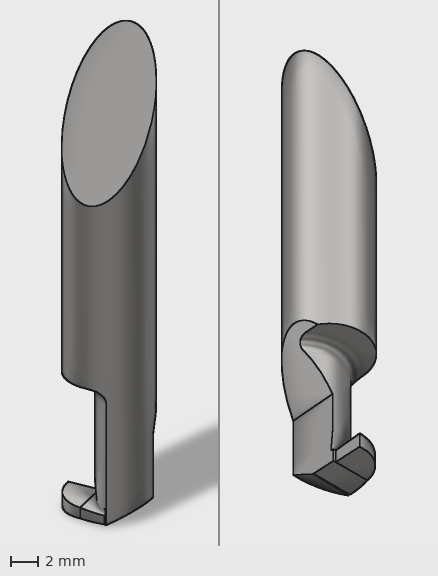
import cadquery as cq
import math

LENGTH = 38.3
SHANK_RADIUS = 3.505
SPAN = 4 * SHANK_RADIUS
END_ANGLE = math.radians(60)
BEVEL_ANGLE = math.radians(30)
BEVEL_START_X = 1.07

NECK_LEFT = -0.75
NECK_AXIS_X = NECK_LEFT + SHANK_RADIUS
NECK_TOP = 11.15
NECK_FILLET = 1.0
BACK_Y = 0.35
RUNOUT_Z = 6.63

RELIEF_TOP = 3.1
RELIEF_TILT = math.radians(5.5)
RELIEF_GROWTH = 0.15
RELIEF_RADIUS = SHANK_RADIUS + RELIEF_GROWTH

FOOT_HEIGHT = 1.3
FOOT_CLEARANCE = math.radians(2)
FOOT_FILLET = 0.15
TIP_X = -3.4
EDGE_Y = 0.1
LAND_Y = -0.23
SPLIT_X = -0.85
SPLIT_Y = -3.1
HEEL = (1.3, -3.37)
HEEL_SAG = 0.08


def side_prism(points):
    """Extrude a Y-Z outline along X, through the whole part."""
    return cq.Workplane("YZ").polyline(points).close().extrude(SPAN / 2, both=True)


def make_shank():
    shank = cq.Workplane("XY").circle(SHANK_RADIUS).extrude(LENGTH)
    end_drop = 2 * SHANK_RADIUS * math.tan(END_ANGLE)
    end_waste = side_prism([
        (SHANK_RADIUS, LENGTH),
        (-SHANK_RADIUS, LENGTH - end_drop),
        (-SHANK_RADIUS, LENGTH),
    ])
    return shank.cut(end_waste)


def make_neck_waste():
    """Space beside the neck, with a flared top that leaves the neck fillet."""
    space = cq.Workplane("XY").rect(SPAN, SPAN).extrude(NECK_TOP)
    flare_bottom = NECK_TOP - NECK_FILLET
    flare_radius = SHANK_RADIUS + NECK_FILLET
    arc_offset = NECK_FILLET * math.sqrt(0.5)
    neck = (
        cq.Workplane("XZ")
        .lineTo(SHANK_RADIUS, 0)
        .lineTo(SHANK_RADIUS, flare_bottom)
        .threePointArc((flare_radius - arc_offset, flare_bottom + arc_offset), (flare_radius, NECK_TOP))
        .lineTo(0, NECK_TOP)
        .close()
        .revolve(360, (0, 0, 0), (0, 1, 0))
        .translate((NECK_AXIS_X, 0, 0))
    )
    return space.cut(neck)


def make_relief_cylinder():
    return (
        cq.Workplane("XY")
        .circle(RELIEF_RADIUS)
        .extrude(SPAN, both=True)
        .rotate((0, 0, 0), (0, 1, 0), -math.degrees(RELIEF_TILT))
        .translate((NECK_LEFT + RELIEF_RADIUS / math.cos(RELIEF_TILT), 0, RELIEF_TOP))
    )


def make_relief_waste():
    """Space outside the tilted cylinder at the bottom of the neck."""
    block = cq.Workplane("XY").box(SPAN, SPAN, RELIEF_TOP, centered=(True, True, False))
    neck_side = block.translate((HEEL[0] - SPAN / 2, 0, 0))
    return neck_side.cut(make_relief_cylinder())


def make_back_waste():
    back = 2 * SHANK_RADIUS
    runout_rise = (back - BACK_Y) * math.tan(END_ANGLE)
    return side_prism([(BACK_Y, 0), (BACK_Y, RUNOUT_Z), (back, RUNOUT_Z + runout_rise), (back, 0)])


def make_bevel_waste():
    bevel_end = 2 * SHANK_RADIUS
    bevel_rise = (bevel_end - BEVEL_START_X) * math.tan(BEVEL_ANGLE)
    return (
        cq.Workplane("XZ")
        .polyline([(BEVEL_START_X, 0), (bevel_end, 0), (bevel_end, bevel_rise)])
        .close()
        .extrude(SPAN / 2, both=True)
    )


def make_foot_wedge():
    """Endless plate whose top and underside close in away from the cutting corner."""
    slope = math.tan(FOOT_CLEARANCE)
    front = -SPAN / 2
    back = SPAN / 2
    front_drop = (EDGE_Y - front) * slope
    back_drop = (EDGE_Y - back) * slope

    def section(workplane, drop):
        return workplane.polyline([
            (front, drop + front_drop),
            (back, drop + back_drop),
            (back, FOOT_HEIGHT - drop - back_drop),
            (front, FOOT_HEIGHT - drop - front_drop),
        ]).close()

    tip_section = section(cq.Workplane("YZ", origin=(TIP_X, 0, 0)), 0)
    return section(tip_section.workplane(offset=SPAN), SPAN * slope).loft(ruled=True)


def make_foot():
    """Holder part of the foot with the fillet up to the neck, between the split plane and the shank."""
    heel_middle = ((SPLIT_X + HEEL[0]) / 2, (SPLIT_Y + HEEL[1]) / 2 - HEEL_SAG)
    column = (
        cq.Workplane("XY")
        .moveTo(SPLIT_X, BACK_Y)
        .lineTo(SPLIT_X, SPLIT_Y)
        .threePointArc(heel_middle, HEEL)
        .lineTo(HEEL[0], BACK_Y)
        .close()
        .extrude(FOOT_HEIGHT + FOOT_FILLET)
    )
    middle = FOOT_HEIGHT / 2
    above_middle = cq.Workplane("XY", origin=(NECK_AXIS_X, 0, middle)).rect(SPAN, SPAN).extrude(RELIEF_TOP)
    stub = make_relief_cylinder().intersect(above_middle)
    blank = make_foot_wedge().union(stub)
    corner = cq.selectors.BoxSelector(
        (NECK_AXIS_X - SPAN / 2, -SPAN / 2, middle),
        (NECK_AXIS_X + SPAN / 2, SPAN / 2, FOOT_HEIGHT),
    )
    on_neck = blank.faces("%CYLINDER").edges(corner)
    return on_neck.fillet(FOOT_FILLET).intersect(column)


def make_underside_waste():
    """Space below the holder part of the foot."""
    width = HEEL[0] - TIP_X
    depth = SPAN / 2 + BACK_Y
    below = cq.Workplane("XY").box(width, depth, FOOT_HEIGHT / 2, centered=False)
    return below.translate((TIP_X, -SPAN / 2, 0)).cut(make_foot_wedge())


def make_holder():
    return (
        make_shank()
        .cut(make_neck_waste())
        .cut(make_relief_waste())
        .cut(make_back_waste())
        .cut(make_underside_waste())
        .union(make_foot())
        .cut(make_bevel_waste())
    )


def make_cutting_tip():
    outline = (
        cq.Workplane("XY")
        .moveTo(SPLIT_X, EDGE_Y)
        .lineTo(TIP_X, EDGE_Y)
        .lineTo(TIP_X, LAND_Y)
        .tangentArcPoint((SPLIT_X, SPLIT_Y), relative=False)
        .close()
    )
    return outline.extrude(FOOT_HEIGHT).intersect(make_foot_wedge())


holder = make_holder()
cutting_tip = make_cutting_tip()
result = cq.Compound.makeCompound([holder.val(), cutting_tip.val()])